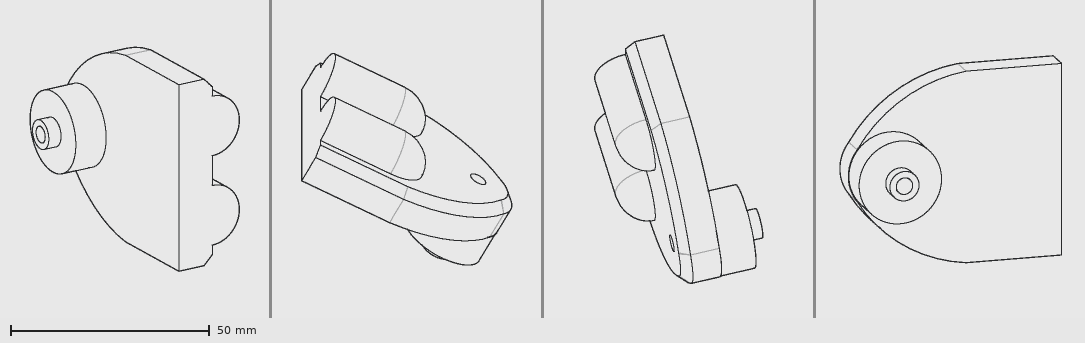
import cadquery as cq
import math

length = 56.0
height = 50.05
plate_thickness = 10.0
chamfer_size = 2.5
bevel_angle = 45
nose_radius = 11.0
nose_half_width = 6.8
flank_end_x = 30.9
flank_mid_x = 16.25
flank_mid_z = 20.2

boss_diameter = 21.6
boss_length = 9.0
pin_diameter = 7.7
pin_length = 3.65
hole_diameter = 4.3

rib_radius = 8.0
rib_offset = 12.0
rib_start_x = 36.0
dome_length = 9.0

half_height = height / 2
pivot_x = nose_radius
pin_tip = 0.0
boss_front = pin_tip + pin_length
plate_front = boss_front + boss_length
plate_back = plate_front + plate_thickness
total_depth = plate_back + rib_radius


def plane_at(y):
    """Sketch plane with local axes X and Z; negative extrusions go toward +Y."""
    return cq.Workplane("XZ", origin=(0, y, 0))


def draw_outline(y, end_x):
    """Rounded-nose outline, symmetric about Z = 0, closed by a straight edge at end_x."""
    nose_end_x = pivot_x - math.sqrt(nose_radius**2 - nose_half_width**2)
    return (
        plane_at(y)
        .moveTo(end_x, -half_height)
        .lineTo(end_x, half_height)
        .lineTo(flank_end_x, half_height)
        .threePointArc((flank_mid_x, flank_mid_z), (nose_end_x, nose_half_width))
        .threePointArc((0, 0), (nose_end_x, -nose_half_width))
        .threePointArc((flank_mid_x, -flank_mid_z), (flank_end_x, -half_height))
        .close()
    )


def make_plate():
    bevel_start = plate_back - chamfer_size
    body = draw_outline(plate_front, length).extrude(plate_front - bevel_start)
    bevel = draw_outline(bevel_start, length + 2 * chamfer_size).extrude(-chamfer_size, taper=bevel_angle)
    trim = cq.Workplane("XY").box(length, total_depth, height, centered=(False, False, True))
    return body.union(bevel.intersect(trim))


def make_cylinder(diameter, y_start, y_end):
    return plane_at(y_start).center(pivot_x, 0).circle(diameter / 2).extrude(y_start - y_end)


def make_rib(z):
    """Round bar with an ellipsoid nose; its front half is buried in the plate."""
    return (
        cq.Workplane("XY", origin=(0, plate_back, z))
        .moveTo(rib_start_x - dome_length, 0)
        .lineTo(length, 0)
        .lineTo(length, rib_radius)
        .lineTo(rib_start_x, rib_radius)
        .ellipseArc(dome_length, rib_radius, 90, 180, startAtCurrent=True)
        .close()
        .revolve(360, (0, 0, 0), (1, 0, 0))
    )


result = make_plate()
result = result.union(make_cylinder(boss_diameter, boss_front, plate_front))
result = result.union(make_cylinder(pin_diameter, pin_tip, boss_front))
for rib_z in (-rib_offset, rib_offset):
    result = result.union(make_rib(rib_z))
result = result.cut(make_cylinder(hole_diameter, pin_tip, total_depth))